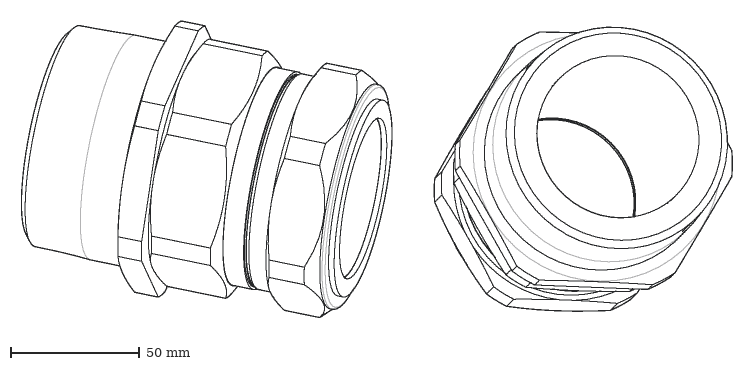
import cadquery as cq
import math


thread_chamfer_end = 2.4
taper_end = 25.1
flange_start = 41.8
flange_end = 52.9
body_hex_end = 82.9
collar_end = 91.2
groove_land_end = 91.9
groove_end = 93.3
cap_hex_start = 100.9
cap_corner_end = 117.8
cap_hex_end = 122.7
rim_end = 124.6
total_length = 126.9

bore_radius = 32.2
seal_bore_radius = 32.0
thread_tip_radius = 41.2
shank_radius = 44.8
thread_taper = 1 / 16
body_shoulder_radius = 43.7
collar_radius = 43.4
groove_land_radius = 42.4
groove_floor_radius = 41.9
neck_radius = 43.0
rim_radius = 44.8
rim_edge_rounding = 1.0
seal_radius = 39.2

flange_flats = 98.9
flange_corner_radius = 54.3
flange_bevel_length = 1.5
flange_face_radius = 49.2
nut_flats = 90.0
nut_corner_radius = 49.5
nut_bevel_angle = math.radians(30)
nut_bevel_length = 2.5
nut_face_radius = nut_corner_radius - nut_bevel_length / math.tan(nut_bevel_angle)


def turned(points):
    """Revolve an (x, radius) outline, closed along the axis, about X."""
    start, end = points[0][0], points[-1][0]
    outline = [(start, 0), *points, (end, 0)]
    return cq.Workplane("XY").polyline(outline).close().revolve(360, (0, 0, 0), (1, 0, 0))


def turned_hexagon(flats, envelope):
    """Hexagonal prism along X, trimmed by the turned envelope."""
    start, end = envelope[0][0], envelope[-1][0]
    across_corners = flats / math.cos(math.radians(30))
    prism = (
        cq.Workplane("YZ", origin=(start, 0, 0))
        .polygon(6, across_corners)
        .extrude(end - start)
    )
    return prism.intersect(turned(envelope))


taper_start_radius = shank_radius - thread_taper / 2 * (taper_end - thread_chamfer_end)
shank = turned([
    (0, thread_tip_radius),
    (thread_chamfer_end, taper_start_radius),
    (taper_end, shank_radius),
    (flange_start, shank_radius),
])

flange = turned_hexagon(flange_flats, [
    (flange_start, flange_face_radius),
    (flange_start + flange_bevel_length, flange_corner_radius),
    (flange_end, flange_corner_radius),
])

body_bevel_length = (nut_corner_radius - body_shoulder_radius) * math.tan(nut_bevel_angle)
body_hex = turned_hexagon(nut_flats, [
    (flange_end, nut_face_radius),
    (flange_end + nut_bevel_length, nut_corner_radius),
    (body_hex_end - body_bevel_length, nut_corner_radius),
    (body_hex_end, body_shoulder_radius),
])

neck = turned([
    (body_hex_end, collar_radius),
    (collar_end, collar_radius),
    (collar_end, groove_land_radius),
    (groove_land_end, groove_land_radius),
    (groove_land_end, groove_floor_radius),
    (groove_end, neck_radius),
    (cap_hex_start, neck_radius),
])

cap_hex = turned_hexagon(nut_flats, [
    (cap_hex_start, nut_face_radius),
    (cap_hex_start + nut_bevel_length, nut_corner_radius),
    (cap_corner_end, nut_corner_radius),
    (cap_hex_end, rim_radius),
])

rim = turned([
    (cap_hex_end, rim_radius),
    (rim_end, rim_radius),
])
rim = rim.faces(">X").edges().fillet(rim_edge_rounding)
seal = turned([(rim_end, seal_radius), (total_length, seal_radius)])

bore = turned([
    (0, bore_radius),
    (rim_end, bore_radius),
    (rim_end, seal_bore_radius),
    (total_length, seal_bore_radius),
])

result = shank
for section in (flange, body_hex, neck, cap_hex, rim, seal):
    result = result.union(section)
result = result.cut(bore)